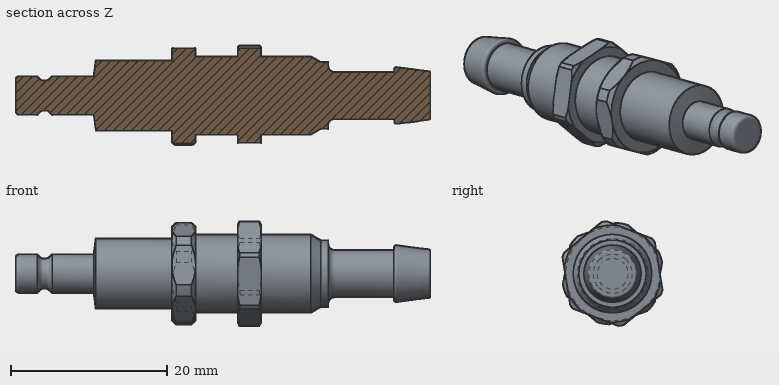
import cadquery as cq
import math

total_length = 53.05

stud_radius = 5.0 / 2
stud_tip_round = 0.5
groove_floor_radius = 3.9 / 2
groove_start = 2.75
groove_end = 4.65
groove_round = 0.5
groove_bevel = stud_radius - groove_floor_radius - groove_round * (1 - math.sqrt(0.5))
groove_arc_run = groove_round * math.sqrt(0.5)
stud_end = 9.95

neck_radius = 9 / 2
neck_start = 10.25
body_radius = 10.0 / 2
body_end = 37.75
collar_radius = 8.6 / 2
collar_start = 39.0
collar_end = 40.0

hose_radius = 6.1 / 2
hose_root_round = 0.75
barb_start = 48.4
barb_radius = 7.3 / 2
barb_edge_round = 0.3
barb_tip_radius = 3.15
barb_tip_round = 0.25

nut_width = 12.0
nut_thickness = 3.0
first_nut_start = 20.0
first_nut_corner_radius = 6.5
first_nut_face_radius = 6.0
first_nut_chamfer = 0.55
first_nut_turn = 10.6
second_nut_start = 28.4
second_nut_corner_radius = 6.755
second_nut_face_radius = 6.2
second_nut_chamfer = 0.25
second_nut_turn = -9.2


def round_corner(outline, centre_x, centre_r, radius, start_angle, end_angle):
    """Add an arc about the given centre, between two angles in degrees."""
    def on_arc(angle):
        turn = math.radians(angle)
        return (centre_x + radius * math.cos(turn), centre_r + radius * math.sin(turn))

    return outline.threePointArc(on_arc((start_angle + end_angle) / 2), on_arc(end_angle))


def revolve_about_x(outline):
    return outline.close().revolve(360, (0, 0, 0), (1, 0, 0))


def make_shaft():
    """Revolve the stud, sleeve and hose barb as one profile."""
    outline = cq.Workplane("XY").lineTo(0, stud_radius - stud_tip_round)
    outline = round_corner(outline, stud_tip_round, stud_radius - stud_tip_round, stud_tip_round, 180, 90)

    floor_start = groove_start + groove_bevel + groove_arc_run
    floor_end = groove_end - groove_bevel - groove_arc_run
    round_centre = groove_floor_radius + groove_round
    outline = outline.lineTo(groove_start, stud_radius)
    outline = outline.lineTo(groove_start + groove_bevel, stud_radius - groove_bevel)
    outline = round_corner(outline, floor_start, round_centre, groove_round, 225, 270)
    outline = outline.lineTo(floor_end, groove_floor_radius)
    outline = round_corner(outline, floor_end, round_centre, groove_round, 270, 315)
    outline = outline.lineTo(groove_end, stud_radius)

    body_start = first_nut_start + nut_thickness / 2
    outline = (
        outline.lineTo(stud_end, stud_radius)
        .lineTo(neck_start, neck_radius)
        .lineTo(body_start, neck_radius)
        .lineTo(body_start, body_radius)
        .lineTo(body_end, body_radius)
        .lineTo(collar_start, collar_radius)
        .lineTo(collar_end, collar_radius)
    )

    root_centre = hose_radius + hose_root_round
    outline = outline.lineTo(collar_end, root_centre)
    outline = round_corner(outline, collar_end + hose_root_round, root_centre, hose_root_round, 180, 270)
    outline = outline.lineTo(barb_start, hose_radius)
    outline = outline.lineTo(barb_start, barb_radius - barb_edge_round)
    outline = round_corner(
        outline, barb_start + barb_edge_round, barb_radius - barb_edge_round, barb_edge_round, 180, 90
    )
    tip_start = total_length - barb_tip_round
    outline = outline.lineTo(tip_start, barb_tip_radius)
    outline = round_corner(outline, tip_start, barb_tip_radius - barb_tip_round, barb_tip_round, 90, 0)
    return revolve_about_x(outline.lineTo(total_length, 0))


def make_nut(start, corner_radius, face_radius, chamfer, turn):
    """Make a hexagonal nut with rounded-off corners, chamfered on both faces.

    A positive turn moves the top corner toward +Y.
    """
    end = start + nut_thickness
    across_corners = nut_width / math.cos(math.radians(30))
    hexagon = (
        cq.Workplane("YZ", origin=(start, 0, 0))
        .transformed(rotate=(0, 0, 90 - turn))
        .polygon(6, across_corners)
        .extrude(nut_thickness)
    )
    envelope = revolve_about_x(
        cq.Workplane("XY")
        .moveTo(start, 0)
        .lineTo(start, face_radius)
        .lineTo(start + chamfer, corner_radius)
        .lineTo(end - chamfer, corner_radius)
        .lineTo(end, face_radius)
        .lineTo(end, 0)
    )
    return hexagon.intersect(envelope)


first_nut = make_nut(
    first_nut_start, first_nut_corner_radius, first_nut_face_radius, first_nut_chamfer, first_nut_turn
)
second_nut = make_nut(
    second_nut_start, second_nut_corner_radius, second_nut_face_radius, second_nut_chamfer, second_nut_turn
)
result = make_shaft().union(first_nut).union(second_nut)